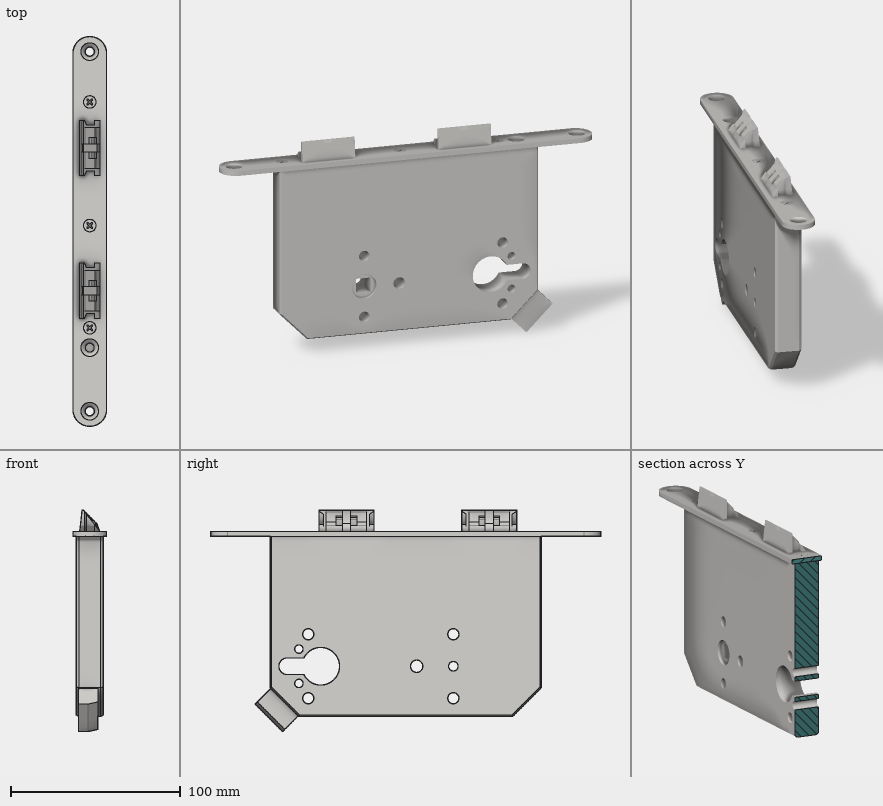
import cadquery as cq
import math


PLATE_LENGTH = 230.0
PLATE_WIDTH = 20.0
PLATE_THICKNESS = 3.0
FIXING_HOLE_Y = 106.0
CASE_SCREW_HOLE_Y = -68.5
COUNTERSINK_DIAMETER = 10.4
COUNTERSINK_ANGLE = 90.0
FIXING_HOLE_DIAMETER = 5.3
SCREW_HEAD_PLACES = [76.4, 3.5, -56.8]
SCREW_HEAD_DIAMETER = 7.4
SCREW_HEAD_SINK = 0.2
SCREW_SOCKET_LENGTH = 4.5
SCREW_SOCKET_WIDTH = 1.0
SCREW_SOCKET_DEPTH = 1.5

CASE_LENGTH = 160.0
CASE_WIDTH = 16.0
CASE_HEIGHT = 106.3
CASE_CORNER = 17.0
CASE_BEVEL_WIDTH = 1.5
CASE_BEVEL_INSET = 1.0
CASE_TOP = -PLATE_THICKNESS
CASE_BOTTOM = CASE_TOP - CASE_HEIGHT

SPINDLE_Y = 28.0
SPINDLE_Z = -79.5
HUB_DIAMETER = 15.2
HUB_SINK = 2.0
SPINDLE_SQUARE = 9.0
SPINDLE_BORE_DIAMETER = 5.5
ROSE_HOLE_DIAMETER = 6.5
ROSE_HOLE_OFFSET = 18.9
ESCUTCHEON_HOLE_Y = -57.5
CENTRE_HOLE_Y = 6.5
CENTRE_HOLE_DIAMETER = 7.1
KEYHOLE_Y = -50.1
KEYHOLE_DIAMETER = 22.0
KEYHOLE_SLOT_WIDTH = 9.7
KEYHOLE_SLOT_END_Y = -74.8
KEYHOLE_SIDE_HOLE_Y = -63.0
KEYHOLE_SIDE_HOLE_OFFSET = 10.1
KEYHOLE_SIDE_HOLE_DIAMETER = 4.8

LATCH_PLACES = [49.2, -35.0]
LATCH_LENGTH = 32.7
LATCH_HEIGHT = 12.5
LATCH_HALF_WIDTH = 6.0
LATCH_PEAK_LEFT = -4.5
LATCH_PEAK_RIGHT = -3.7
LATCH_END_LENGTH = 4.4
LATCH_RAMP_SINK = 0.2
LATCH_STEP_X = 3.0
LATCH_STEP_FOOT_X = 4.0
LATCH_STEP_FOOT_Z = 3.5
LATCH_RIB_LENGTH = 4.8
LATCH_RIB_X = 4.1
LATCH_RIB_CREASE_Z = 10.4
LATCH_RIB_TOP_LEFT = -4.4
LATCH_NOTCH_LENGTH = 3.7
LATCH_NOTCH_X = -0.5
LATCH_NOTCH_LEDGE_X = 1.0
LATCH_NOTCH_DEPTH = 0.7
LATCH_GROOVE_DEPTH = 2.8
LATCH_GROOVE_LEFT = -3.2
LATCH_GROOVE_LEFT_FLOOR = -1.8
LATCH_GROOVE_RIGHT = 2.8

BOLT_WIDTH = 23.0
BOLT_REACH = 13.0
BOLT_LEFT = -6.7
BOLT_RIGHT = 4.8
BOLT_CREASE = -1.0
BOLT_BEVEL = 1.8


def make_faceplate():
    """Round-ended strip with countersunk holes and sunken screw heads."""
    plate = cq.Workplane("XY").slot2D(PLATE_LENGTH, PLATE_WIDTH, 90).extrude(-PLATE_THICKNESS)
    hole_points = [(0, y) for y in (FIXING_HOLE_Y, -FIXING_HOLE_Y, CASE_SCREW_HOLE_Y)]
    plate = plate.faces(">Z").workplane(origin=(0, 0, 0)).pushPoints(hole_points)
    plate = plate.cskHole(FIXING_HOLE_DIAMETER, COUNTERSINK_DIAMETER, COUNTERSINK_ANGLE)

    head_points = [(0, y) for y in SCREW_HEAD_PLACES]
    heads = cq.Workplane("XY").pushPoints(head_points)
    plate = plate.cut(heads.circle(SCREW_HEAD_DIAMETER / 2).extrude(-SCREW_HEAD_SINK))
    for angle in (45, 135):
        arm = heads.slot2D(SCREW_SOCKET_LENGTH, SCREW_SOCKET_WIDTH, angle)
        plate = plate.cut(arm.extrude(-SCREW_SOCKET_DEPTH))
    return plate


def case_outline(inset):
    """Case outline in the YZ plane, moved inwards at the sides, corners and bottom."""
    half_length = CASE_LENGTH / 2 - inset
    bottom = CASE_BOTTOM + inset
    corner = CASE_CORNER - inset * (2 - math.sqrt(2))
    return [
        (-half_length, CASE_TOP),
        (-half_length, bottom + corner),
        (-half_length + corner, bottom),
        (half_length - corner, bottom),
        (half_length, bottom + corner),
        (half_length, CASE_TOP),
    ]


def case_bevel(side):
    """Bevelled outer layer of the case on one side, side being -1 or 1."""
    inner_x = side * (CASE_WIDTH / 2 - CASE_BEVEL_WIDTH)
    outer_x = side * CASE_WIDTH / 2
    inner = cq.Workplane("YZ", origin=(inner_x, 0, 0)).polyline(case_outline(0)).close()
    outer = cq.Workplane("YZ", origin=(outer_x, 0, 0)).polyline(case_outline(CASE_BEVEL_INSET)).close()
    wires = [inner.val(), outer.val()]
    return cq.Workplane(cq.Solid.makeLoft(wires, True))


def through_case(points, diameter):
    """Round holes across the whole case width."""
    start = cq.Workplane("YZ", origin=(-CASE_WIDTH / 2, 0, 0))
    return start.pushPoints(points).circle(diameter / 2).extrude(CASE_WIDTH)


def keyhole():
    """Profile cylinder opening: a round hole with a round-ended slot."""
    opening = through_case([(KEYHOLE_Y, SPINDLE_Z)], KEYHOLE_DIAMETER)
    slot_length = KEYHOLE_Y - KEYHOLE_SLOT_END_Y
    slot_centre = (KEYHOLE_Y + KEYHOLE_SLOT_END_Y) / 2
    start = cq.Workplane("YZ", origin=(-CASE_WIDTH / 2, 0, 0)).center(slot_centre, SPINDLE_Z)
    return opening.union(start.slot2D(slot_length, KEYHOLE_SLOT_WIDTH).extrude(CASE_WIDTH))


def spindle_opening():
    """Sunken hub with a square socket that ends in a round bore."""
    start = cq.Workplane("YZ", origin=(-CASE_WIDTH / 2, 0, 0)).center(SPINDLE_Y, SPINDLE_Z)
    hub = start.circle(HUB_DIAMETER / 2).extrude(HUB_SINK)
    socket = start.rect(SPINDLE_SQUARE, SPINDLE_SQUARE).extrude(CASE_WIDTH - HUB_SINK)
    bore = start.circle(SPINDLE_BORE_DIAMETER / 2).extrude(CASE_WIDTH)
    return hub.union(socket).union(bore)


def make_case():
    core_width = CASE_WIDTH - 2 * CASE_BEVEL_WIDTH
    core = cq.Workplane("YZ", origin=(-core_width / 2, 0, 0))
    case = core.polyline(case_outline(0)).close().extrude(core_width)
    case = case.union(case_bevel(-1)).union(case_bevel(1))

    heights = [SPINDLE_Z - ROSE_HOLE_OFFSET, SPINDLE_Z + ROSE_HOLE_OFFSET]
    rose_points = [(y, z) for y in (SPINDLE_Y, ESCUTCHEON_HOLE_Y) for z in heights]
    side_points = [
        (KEYHOLE_SIDE_HOLE_Y, SPINDLE_Z + side * KEYHOLE_SIDE_HOLE_OFFSET) for side in (-1, 1)
    ]
    case = case.cut(through_case(rose_points, ROSE_HOLE_DIAMETER))
    case = case.cut(through_case(side_points, KEYHOLE_SIDE_HOLE_DIAMETER))
    case = case.cut(through_case([(CENTRE_HOLE_Y, SPINDLE_Z)], CENTRE_HOLE_DIAMETER))
    return case.cut(keyhole()).cut(spindle_opening())


def latch_prism(outline, length, centre_y=0.0):
    """Straight piece along Y from an XZ outline."""
    start = cq.Workplane("XZ", origin=(0, centre_y + length / 2, 0))
    return start.polyline(outline).close().extrude(length)


def rib_height(x):
    """Height of the 45 degree back of the rib in the middle of the latch."""
    return LATCH_HEIGHT - (x - LATCH_PEAK_RIGHT)


def ramp_height(x):
    """Height of the 45 degree ramp on both sides of the rib."""
    return rib_height(x) - LATCH_RAMP_SINK


def latch_grooves():
    """Upright grooves in both ends of the latch, each with one slanted flank."""
    end_y = LATCH_LENGTH / 2
    floor_y = end_y - LATCH_GROOVE_DEPTH
    outline = [
        (LATCH_GROOVE_LEFT, end_y),
        (LATCH_GROOVE_LEFT_FLOOR, floor_y),
        (LATCH_GROOVE_RIGHT, floor_y),
        (LATCH_GROOVE_RIGHT, end_y),
    ]
    groove = cq.Workplane("XY").polyline(outline).close().extrude(LATCH_HEIGHT)
    return groove.union(groove.mirror("XZ"))


def latch_notches():
    """Stepped notches in the ramp, one on each side of the rib."""
    top = ramp_height(LATCH_NOTCH_X)
    outline = [
        (LATCH_NOTCH_X, top),
        (LATCH_NOTCH_X, top - LATCH_NOTCH_DEPTH),
        (LATCH_NOTCH_LEDGE_X, ramp_height(LATCH_NOTCH_LEDGE_X) - LATCH_NOTCH_DEPTH),
        (LATCH_STEP_X, LATCH_STEP_FOOT_Z),
        (LATCH_STEP_FOOT_X, LATCH_STEP_FOOT_Z),
        (LATCH_STEP_FOOT_X, top),
    ]
    offset = (LATCH_RIB_LENGTH + LATCH_NOTCH_LENGTH) / 2
    notch = latch_prism(outline, LATCH_NOTCH_LENGTH, offset)
    return notch.union(notch.mirror("XZ"))


def latch_front_relief():
    """Small bevel on the top of the upright face, as long as the rib."""
    lean = (LATCH_PEAK_LEFT + LATCH_HALF_WIDTH) / LATCH_HEIGHT
    outline = [
        (-LATCH_HALF_WIDTH + lean * LATCH_RIB_CREASE_Z, LATCH_RIB_CREASE_Z),
        (LATCH_RIB_TOP_LEFT, LATCH_HEIGHT),
        (-LATCH_HALF_WIDTH, LATCH_HEIGHT),
    ]
    return latch_prism(outline, LATCH_RIB_LENGTH)


def make_latch(centre_y):
    """Wedge-shaped latch with a stepped ramp and a proud rib between its grooved ends."""
    upright = [
        (-LATCH_HALF_WIDTH, 0),
        (LATCH_PEAK_LEFT, LATCH_HEIGHT),
        (LATCH_PEAK_RIGHT, LATCH_HEIGHT),
    ]
    foot = (LATCH_HALF_WIDTH, 0)
    ramp_start = (LATCH_PEAK_RIGHT, ramp_height(LATCH_PEAK_RIGHT))
    step = (LATCH_STEP_X, ramp_height(LATCH_STEP_X))
    step_foot = (LATCH_STEP_FOOT_X, LATCH_STEP_FOOT_Z)
    rib_tip = (LATCH_RIB_X, rib_height(LATCH_RIB_X))

    latch = latch_prism(upright + [foot], LATCH_LENGTH).cut(latch_grooves())
    middle = [*upright, ramp_start, step, step_foot, foot]
    latch = latch.union(latch_prism(middle, LATCH_LENGTH - 2 * LATCH_END_LENGTH))
    latch = latch.cut(latch_notches())
    latch = latch.union(latch_prism(upright + [rib_tip, foot], LATCH_RIB_LENGTH))
    latch = latch.cut(latch_front_relief())
    return latch.translate((0, centre_y, 0))


def make_corner_bolt():
    """Block standing on the cut corner of the case, with one bevelled end."""
    corner_y = -CASE_LENGTH / 2 + CASE_CORNER / 2
    corner_z = CASE_BOTTOM + CASE_CORNER / 2
    base = cq.Plane(origin=(0, corner_y, corner_z), xDir=(1, 0, 0), normal=(0, 1, -1))
    outline = [
        (BOLT_LEFT, 0),
        (BOLT_RIGHT, 0),
        (BOLT_RIGHT, BOLT_REACH - BOLT_BEVEL),
        (BOLT_CREASE, BOLT_REACH),
        (BOLT_LEFT, BOLT_REACH),
    ]
    block = cq.Workplane(base).polyline(outline).close()
    return block.extrude(BOLT_WIDTH / 2, both=True)


faceplate = make_faceplate()
case = make_case()
latches = [make_latch(y) for y in LATCH_PLACES]
corner_bolt = make_corner_bolt()

bodies = [faceplate, case, *latches, corner_bolt]
result = cq.Compound.makeCompound([body.solids().val() for body in bodies])